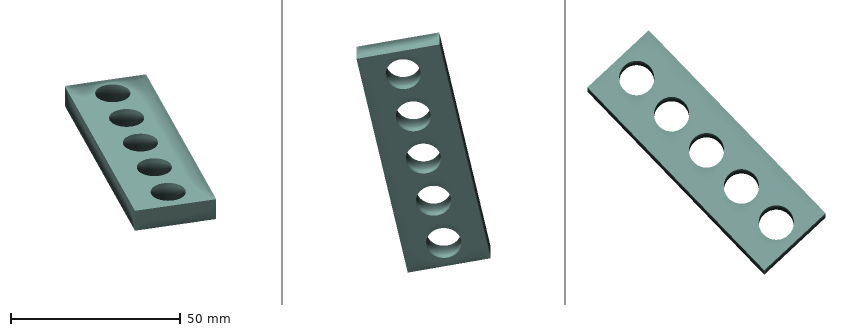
import cadquery as cq

length = 76.0
width = 25.0
thickness = 6.8

hole_diameter = 10.41
hole_count = 5
hole_pitch = 15.0


def make_plate():
    """Rectangular plate centred on the origin."""
    return cq.Workplane("XY").box(length, width, thickness)


def drill_hole_row(plate):
    """Evenly spaced through holes, centred on the top face."""
    return (
        plate.faces(">Z")
        .workplane()
        .rarray(hole_pitch, width, hole_count, 1)
        .hole(hole_diameter)
    )


result = drill_hole_row(make_plate())